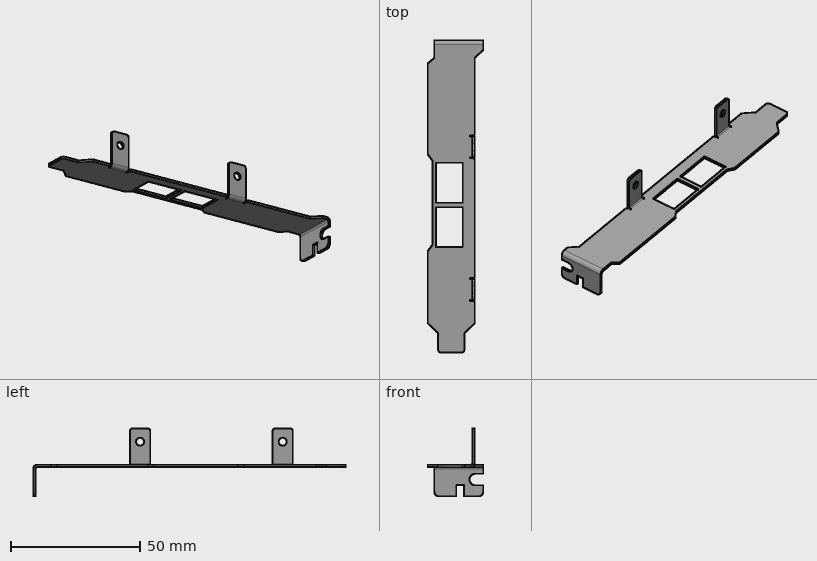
import cadquery as cq

sheet = 1.0
length = 121.1
plate_width = 18.3

tongue_left = 4.0
tongue_right = 14.3
tongue_top = 7.5
taper_top = 11.4
tongue_radius = 1.2
recess_depth = 1.8
recess_bottom = 41.8
recess_top = 74.3
recess_ramp = 2.4
shoulder_left_bottom = 112.0
shoulder_bottom = 114.2
shoulder_right_top = 117.2

window_left = 3.3
window_width = 10.3
window_height = 15.4
window_bottoms = (40.9, 58.1)

flange_left = 2.5
flange_right = 21.5
flange_depth = 12.4
flange_bend_inner = 0.7
flange_bend_outer = flange_bend_inner + sheet
flange_radius = 1.8
screw_slot_width = 4.4
screw_slot_center_x = 18.4
screw_slot_center_z = -5.8
notch_left = 11.1
notch_width = 2.9
notch_top = -8.0

tab_centers = (79.7, 24.5)
tab_width = 8.0
tab_height = 14.0
tab_radius = 1.2
tab_hole_diameter = 3.0
tab_hole_height = 8.8
tab_bend_inner = 0.5
tab_bend_outer = tab_bend_inner + sheet
relief_width = 0.4
relief_left = 16.5
relief_flare = 0.5


def box(x0, x1, y0, y1, z0, z1):
    return cq.Workplane("XY").box(x1 - x0, y1 - y0, z1 - z0, centered=False).translate((x0, y0, z0))


def make_plate():
    outline = [
        (tongue_left, 0),
        (tongue_right, 0),
        (tongue_right, tongue_top),
        (plate_width, taper_top),
        (plate_width, shoulder_bottom),
        (flange_right, shoulder_right_top),
        (flange_right, length),
        (flange_left, length),
        (flange_left, shoulder_bottom),
        (0, shoulder_left_bottom),
        (0, recess_top + recess_ramp),
        (recess_depth, recess_top),
        (recess_depth, recess_bottom),
        (0, recess_bottom - recess_ramp),
        (0, taper_top),
        (tongue_left, tongue_top),
    ]
    plate = cq.Workplane("XY").polyline(outline).close().extrude(-sheet)
    plate = plate.edges("|Z and <Y").fillet(tongue_radius)
    for bottom in window_bottoms:
        window = box(window_left, window_left + window_width, bottom, bottom + window_height, -sheet, 0)
        plate = plate.cut(window)
    return plate


def add_flange(plate):
    flange = box(flange_left, flange_right, length - sheet, length, -flange_depth, 0)
    flange = flange.edges("|Y and <Z").fillet(flange_radius)
    slot_bottom = screw_slot_center_z - screw_slot_width / 2
    slot = box(
        screw_slot_center_x, flange_right, length - sheet, length, slot_bottom, slot_bottom + screw_slot_width
    )
    slot_end = (
        cq.Workplane("XZ", origin=(screw_slot_center_x, length, screw_slot_center_z))
        .circle(screw_slot_width / 2)
        .extrude(sheet)
    )
    notch = box(notch_left, notch_left + notch_width, length - sheet, length, -flange_depth, notch_top)
    body = plate.union(flange.cut(slot).cut(slot_end).cut(notch))

    inner_edge = cq.selectors.NearestToPointSelector(
        ((flange_left + flange_right) / 2, length - sheet, -sheet)
    )
    body = body.edges(inner_edge).fillet(flange_bend_inner)
    return body.edges("|X and >Y and >Z").fillet(flange_bend_outer)


def add_tab(body, center_y):
    y0 = center_y - tab_width / 2
    y1 = center_y + tab_width / 2

    relief_y0 = y0 - relief_width
    relief_y1 = y1 + relief_width
    flare_x = plate_width - relief_flare
    clearance = (
        cq.Workplane("XY")
        .polyline([
            (relief_left, relief_y0),
            (flare_x, relief_y0),
            (plate_width, relief_y0 - relief_flare),
            (plate_width, relief_y1 + relief_flare),
            (flare_x, relief_y1),
            (relief_left, relief_y1),
        ])
        .close()
        .extrude(-sheet)
    )

    root = box(relief_left, plate_width, y0, y1, -sheet, 0)
    upright = box(plate_width - sheet, plate_width, y0, y1, -sheet, tab_height)
    upright = upright.edges("|X and >Z").fillet(tab_radius)
    hole = (
        cq.Workplane("YZ", origin=(plate_width - sheet, center_y, tab_hole_height))
        .circle(tab_hole_diameter / 2)
        .extrude(sheet)
    )
    tab = root.union(upright.cut(hole))
    inner_edge = cq.selectors.NearestToPointSelector((plate_width - sheet, center_y, 0))
    tab = tab.edges(inner_edge).fillet(tab_bend_inner)
    tab = tab.edges("|Y and >X and <Z").fillet(tab_bend_outer)
    return body.cut(clearance).union(tab)


result = add_flange(make_plate())
for tab_center in tab_centers:
    result = add_tab(result, tab_center)